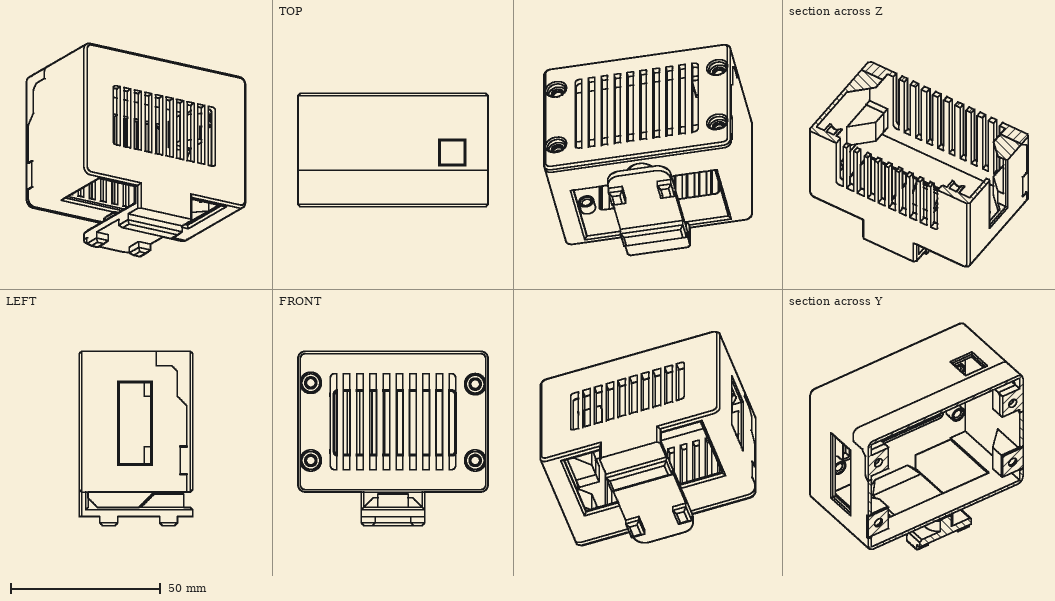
import cadquery as cq


WIDTH = 63.5
DEPTH = 38.0
HEIGHT = 47.0
CORNER_RADIUS = 2.5
EDGE_CHAMFER = 0.8
FRONT_WALL = 2.05
WALL = 1.5
BACK_WALL = 3.0
SMALL_CHAMFER = 0.5

LID_DEPTH = 12.2
LID_BOTTOM = 42.1
BOSS_SPLIT_UPPER = 5.15
BOSS_SPLIT_LOWER = 4.25
LID_BEVEL = 1.85
TAB_CLEARANCE = 0.2

BOSS_HEIGHT = 9.15
LOWER_BOSS_BOTTOM = 6.0
UPPER_BOSS_BOTTOM = 31.95
BOSS_INNER_X = 23.25
BOSS_BACK = 16.25

SCREW_X = 27.45
LOWER_SCREW_Z = 10.55
UPPER_SCREW_Z = 36.0
UPPER_LEFT_SCREW_Z = 36.45
HEAD_RIM_DIAMETER = 7.1
HEAD_DIAMETER = 6.0
STEP_DIAMETER = 4.0
SCREW_HOLE_DIAMETER = 3.0
HEAD_DEPTH = 2.1
STEP_DEPTH = 0.8
SCREW_HOLE_DEPTH = 6.0

FRONT_SLOTS = 10
FRONT_GRILLE_WIDTH = 41.9
FRONT_GRILLE_HEIGHT = 32.05
FRONT_BAR = 2.2
FRONT_GRILLE_Z = 23.5
FRONT_GRILLE_RADIUS = 1.5

BACK_SLOTS = 10
BACK_GRILLE_WIDTH = 40.0
BACK_GRILLE_HEIGHT = 21.0
BACK_BAR = 1.45
BACK_BAR_THICKNESS = 2.15
BACK_GRILLE_X = 0.65
BACK_GRILLE_Z = 23.05
BACK_GRILLE_RADIUS = 1.0

POST_DIAMETER = 5.0
POST_MOUTH_DIAMETER = 4.0
POST_HEIGHT = 3.5
POST_SPACING_X = 48.5
POST_SPACING_Z = 18.9

SIDE_WINDOW_LENGTH = 10.5
SIDE_WINDOW_HEIGHT = 27.05
SIDE_WINDOW_Y = 19.3
SIDE_WINDOW_Z = 22.9
TOP_HOLE_SIZE = 7.95
TOP_HOLE_X = 19.75
TOP_HOLE_Y = 18.15
FLOOR_OPENING_WIDTH = 48.25
FLOOR_OPENING_FRONT = 12.7

CLIP_WIDTH = 21.3
CLIP_PLATE_THICKNESS = 3.05
CLIP_BOTTOM = -8.2
CLIP_CORNER_RADIUS = 4.45
CLIP_GUSSET = 3.2
FOOT_HEIGHT = 3.1
FOOT_LENGTH = 6.05
FOOT_CHAMFER = 1.0
FRONT_FOOT_Y = 8.1
BACK_FOOT_Y = 28.05
FRONT_FOOT_GAP = 11.95

NUB_DIAMETER = 10.05
NUB_Y = 8.05
NUB_GAP = 0.2
NUB_TOP_BACK = 13.15

CLIP_TOP = CLIP_BOTTOM + CLIP_PLATE_THICKNESS
INNER_BACK = DEPTH - BACK_WALL
SCREWS = [
    (-SCREW_X, LOWER_SCREW_Z),
    (SCREW_X, LOWER_SCREW_Z),
    (-SCREW_X, UPPER_LEFT_SCREW_Z),
    (SCREW_X, UPPER_SCREW_Z),
]


def block(x0, x1, y0, y1, z0, z1):
    """Box given by its limits along each axis."""
    return cq.Workplane("XY").box(x1 - x0, y1 - y0, z1 - z0, centered=False).translate((x0, y0, z0))


def rod(x, z, diameter, y0, y1):
    """Cylinder along +Y from y0 to y1."""
    return cq.Workplane(cq.Solid.makeCylinder(diameter / 2, y1 - y0, cq.Vector(x, y0, z), cq.Vector(0, 1, 0)))


def cone(x, z, front_diameter, back_diameter, y0):
    """45-degree countersink that narrows along +Y from y0."""
    length = (front_diameter - back_diameter) / 2
    return cq.Workplane(
        cq.Solid.makeCone(
            front_diameter / 2, back_diameter / 2, length, cq.Vector(x, y0, z), cq.Vector(0, 1, 0)
        )
    )


def slot_row(count, width, bar, height, x, z, y0, y1):
    """Row of equal vertical slots with bars of the given width between them."""
    slot = (width - (count - 1) * bar) / count
    left = x - width / 2
    row = cq.Workplane("XY")
    for i in range(count):
        slot_left = left + i * (slot + bar)
        row = row.union(block(slot_left, slot_left + slot, y0, y1, z - height / 2, z + height / 2))
    return row


def rounded_block(width, height, x, z, y0, y1, radius):
    """Block along Y with rounded edges."""
    blank = block(x - width / 2, x + width / 2, y0, y1, z - height / 2, z + height / 2)
    return blank.edges("|Y").fillet(radius)


def chamfered_cutter(plane, size_a, size_b, depth, chamfer):
    """Rectangular cutter going inward from a wall face, with a chamfered mouth."""
    mouth = cq.Workplane(plane).rect(size_a + 2 * chamfer, size_b + 2 * chamfer).extrude(-chamfer, taper=45)
    return cq.Workplane(plane).rect(size_a, size_b).extrude(-depth).union(mouth)


def boss(side, bottom):
    """Screw boss on one side wall, tapered at its back end."""
    wall_x = WIDTH / 2 - WALL
    taper = wall_x - BOSS_INNER_X
    outline = [
        (side * wall_x, FRONT_WALL),
        (side * BOSS_INNER_X, FRONT_WALL),
        (side * BOSS_INNER_X, BOSS_BACK - taper),
        (side * wall_x, BOSS_BACK),
    ]
    return cq.Workplane("XY").polyline(outline).close().extrude(BOSS_HEIGHT).translate((0, 0, bottom))


def enclosure():
    """Closed hollow box with its screw bosses, before it is parted into cover and housing."""
    box = block(-WIDTH / 2, WIDTH / 2, 0, DEPTH, 0, HEIGHT)
    box = box.edges("|Y").fillet(CORNER_RADIUS)
    box = box.faces("<Y or >Y").chamfer(EDGE_CHAMFER)
    inner_x = WIDTH / 2 - WALL
    box = box.cut(block(-inner_x, inner_x, FRONT_WALL, INNER_BACK, WALL, HEIGHT - WALL))
    for side in (-1, 1):
        for bottom in (LOWER_BOSS_BOTTOM, UPPER_BOSS_BOTTOM):
            box = box.union(boss(side, bottom))
    return box


def cover_region(tab_clearance):
    """Space in front of the parting line; the clearance widens the room for the tabs."""
    slope = BOSS_SPLIT_UPPER - FRONT_WALL
    tab_bottom = LOWER_BOSS_BOTTOM - tab_clearance
    tab_top = LOWER_BOSS_BOTTOM + BOSS_HEIGHT + tab_clearance
    outline = [
        (0, 0),
        (FRONT_WALL, 0),
        (FRONT_WALL, tab_bottom),
        (BOSS_SPLIT_LOWER, tab_bottom),
        (BOSS_SPLIT_LOWER, tab_top),
        (FRONT_WALL, tab_top),
        (FRONT_WALL, UPPER_BOSS_BOTTOM - slope),
        (BOSS_SPLIT_UPPER, UPPER_BOSS_BOTTOM),
        (BOSS_SPLIT_UPPER, LID_BOTTOM - LID_BEVEL),
        (BOSS_SPLIT_UPPER + LID_BEVEL, LID_BOTTOM),
        (LID_DEPTH, LID_BOTTOM),
        (LID_DEPTH, HEIGHT),
        (0, HEIGHT),
    ]
    return cq.Workplane("YZ").polyline(outline).close().extrude(WIDTH / 2, both=True)


def front_grille():
    """Slots through the cover plate, with the outer corners of the row rounded."""
    slots = slot_row(
        FRONT_SLOTS, FRONT_GRILLE_WIDTH, FRONT_BAR, FRONT_GRILLE_HEIGHT, 0, FRONT_GRILLE_Z, 0, FRONT_WALL
    )
    outline = rounded_block(
        FRONT_GRILLE_WIDTH, FRONT_GRILLE_HEIGHT, 0, FRONT_GRILLE_Z, 0, FRONT_WALL, FRONT_GRILLE_RADIUS
    )
    return slots.intersect(outline)


def make_cover():
    """Front plate with grille, top lip and stepped screw holes."""
    cover = enclosure().intersect(cover_region(0)).cut(front_grille())
    for x, z in SCREWS:
        cover = cover.cut(cone(x, z, HEAD_RIM_DIAMETER, HEAD_DIAMETER, 0))
        cover = cover.cut(rod(x, z, HEAD_DIAMETER, 0, HEAD_DEPTH))
        cover = cover.cut(rod(x, z, STEP_DIAMETER, 0, HEAD_DEPTH + STEP_DEPTH))
        cover = cover.cut(rod(x, z, SCREW_HOLE_DIAMETER, 0, BOSS_SPLIT_UPPER))
    return cover


def back_grille():
    """Rounded window with a chamfered inner rim, less the bars that cross its outer part."""
    window = rounded_block(
        BACK_GRILLE_WIDTH,
        BACK_GRILLE_HEIGHT,
        BACK_GRILLE_X,
        BACK_GRILLE_Z,
        INNER_BACK,
        DEPTH,
        BACK_GRILLE_RADIUS,
    )
    bar_front = DEPTH - BACK_BAR_THICKNESS
    slots = slot_row(
        BACK_SLOTS,
        BACK_GRILLE_WIDTH,
        BACK_BAR,
        BACK_GRILLE_HEIGHT,
        BACK_GRILLE_X,
        BACK_GRILLE_Z,
        bar_front,
        DEPTH,
    )
    open_front = block(-WIDTH / 2, WIDTH / 2, INNER_BACK, bar_front, 0, HEIGHT)
    rim = rounded_block(
        BACK_GRILLE_WIDTH + 2 * SMALL_CHAMFER,
        BACK_GRILLE_HEIGHT + 2 * SMALL_CHAMFER,
        BACK_GRILLE_X,
        BACK_GRILLE_Z,
        INNER_BACK - SMALL_CHAMFER,
        INNER_BACK + SMALL_CHAMFER,
        BACK_GRILLE_RADIUS + SMALL_CHAMFER,
    )
    rim = rim.faces(">Y").chamfer(SMALL_CHAMFER)
    return window.intersect(slots.union(open_front)).union(rim)


def clip_plate():
    """L-shaped bracket: leg down from the back wall, plate forward under the box, gusset between."""
    half = CLIP_WIDTH / 2
    plate = block(-half, half, 0, DEPTH - EDGE_CHAMFER, CLIP_BOTTOM, CLIP_TOP)
    plate = plate.edges("|Z and <Y").fillet(CLIP_CORNER_RADIUS)
    plate = plate.faces(">Z").edges("not >Y").chamfer(EDGE_CHAMFER)
    leg = block(-half, half, INNER_BACK, DEPTH, CLIP_BOTTOM, WALL)
    leg = leg.edges("|Z").chamfer(EDGE_CHAMFER)
    gusset = (
        cq.Workplane("YZ")
        .polyline([
            (INNER_BACK, CLIP_TOP),
            (INNER_BACK - CLIP_GUSSET, CLIP_TOP),
            (INNER_BACK, CLIP_TOP + CLIP_GUSSET),
        ])
        .close()
        .extrude(half - EDGE_CHAMFER, both=True)
    )
    gusset = gusset.intersect(
        cq.Workplane("XZ", origin=(0, DEPTH, 0))
        .polyline([
            (EDGE_CHAMFER - half, CLIP_TOP),
            (half - EDGE_CHAMFER, CLIP_TOP),
            (half - EDGE_CHAMFER - CLIP_GUSSET, CLIP_TOP + CLIP_GUSSET),
            (EDGE_CHAMFER - half + CLIP_GUSSET, CLIP_TOP + CLIP_GUSSET),
        ])
        .close()
        .extrude(DEPTH)
    )
    return plate.union(leg).union(gusset)


def foot(x0, x1, y):
    """Rail foot under the clip plate with a chamfered underside."""
    blank = block(x0, x1, y - FOOT_LENGTH / 2, y + FOOT_LENGTH / 2, CLIP_BOTTOM - FOOT_HEIGHT, CLIP_BOTTOM)
    return blank.faces("<Z").chamfer(FOOT_CHAMFER)


def nub():
    """Round-nosed nub whose back falls to the plate at 45 degrees."""
    radius = NUB_DIAMETER / 2
    top = -NUB_GAP
    bottom_back = NUB_TOP_BACK + top - CLIP_TOP
    nose = cq.Workplane("XY", origin=(0, NUB_Y, CLIP_TOP)).circle(radius).extrude(top - CLIP_TOP)
    tail = block(-radius, radius, NUB_Y, bottom_back, CLIP_TOP, top)
    nose_front = NUB_Y - radius
    side_outline = [
        (nose_front, CLIP_TOP),
        (bottom_back, CLIP_TOP),
        (NUB_TOP_BACK, top),
        (nose_front, top),
    ]
    side_profile = cq.Workplane("YZ").polyline(side_outline).close().extrude(radius, both=True)
    body = nose.union(tail).intersect(side_profile)
    slope = body.faces(cq.selectors.DirectionMinMaxSelector(cq.Vector(0, 1, 1), True))
    edges = body.faces(">Z").edges().vals()
    edges += slope.edges("not |X").vals()
    return body.newObject(edges).chamfer(SMALL_CHAMFER)


def clip():
    """Clip bracket with its nub, one full-width back foot and a pair of front feet."""
    half = CLIP_WIDTH / 2
    bracket = clip_plate().union(nub()).union(foot(-half, half, BACK_FOOT_Y))
    bracket = bracket.union(foot(-half, -FRONT_FOOT_GAP / 2, FRONT_FOOT_Y))
    return bracket.union(foot(FRONT_FOOT_GAP / 2, half, FRONT_FOOT_Y))


def make_housing():
    """Rear part of the box with its openings, posts and clip bracket."""
    housing = enclosure().cut(cover_region(TAB_CLEARANCE))

    post_front = INNER_BACK - POST_HEIGHT
    for side_x in (-1, 1):
        for side_z in (-1, 1):
            x = BACK_GRILLE_X + side_x * POST_SPACING_X / 2
            z = BACK_GRILLE_Z + side_z * POST_SPACING_Z / 2
            housing = housing.union(rod(x, z, POST_DIAMETER, post_front, INNER_BACK))
            housing = housing.cut(rod(x, z, SCREW_HOLE_DIAMETER, post_front, INNER_BACK))
            housing = housing.cut(cone(x, z, POST_MOUTH_DIAMETER, SCREW_HOLE_DIAMETER, post_front))
    housing = housing.cut(back_grille())

    for x, z in SCREWS:
        mouth = BOSS_SPLIT_LOWER if z == LOWER_SCREW_Z else BOSS_SPLIT_UPPER
        housing = housing.cut(rod(x, z, SCREW_HOLE_DIAMETER, mouth, mouth + SCREW_HOLE_DEPTH))

    side_plane = cq.Plane((-WIDTH / 2, SIDE_WINDOW_Y, SIDE_WINDOW_Z), (0, 1, 0), (-1, 0, 0))
    window_depth = WIDTH / 2 - BOSS_INNER_X
    housing = housing.cut(
        chamfered_cutter(side_plane, SIDE_WINDOW_LENGTH, SIDE_WINDOW_HEIGHT, window_depth, SMALL_CHAMFER)
    )
    top_plane = cq.Plane((TOP_HOLE_X, TOP_HOLE_Y, HEIGHT), (1, 0, 0), (0, 0, 1))
    housing = housing.cut(chamfered_cutter(top_plane, TOP_HOLE_SIZE, TOP_HOLE_SIZE, WALL, SMALL_CHAMFER))
    floor_length = INNER_BACK - FLOOR_OPENING_FRONT
    floor_plane = cq.Plane((0, FLOOR_OPENING_FRONT + floor_length / 2, 0), (1, 0, 0), (0, 0, -1))
    housing = housing.cut(
        chamfered_cutter(floor_plane, FLOOR_OPENING_WIDTH, floor_length, WALL, EDGE_CHAMFER)
    )
    return housing.union(clip())


cover = make_cover()
housing = make_housing()
result = cq.Compound.makeCompound([cover.solids().val(), housing.solids().val()])